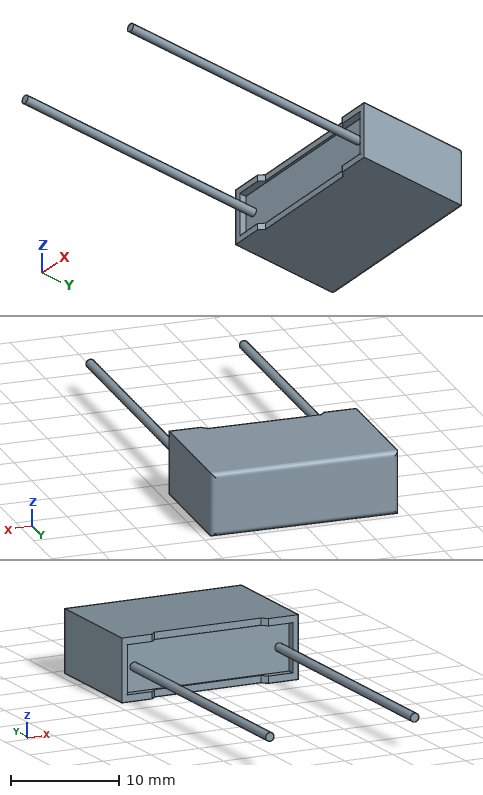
import cadquery as cq

total_length = 39.1
case_width = 18.3
case_height = 6.2
lead_length = 27.0
case_length = total_length - lead_length

side_wall = 0.6
flat_wall = 0.7
back_wall = flat_wall
back_edge_radius = 0.45
notch_depth = 0.5
notch_mouth_width = 12.05

filling_recess = 0.75
lead_diameter = 0.85
lead_spacing = 15.0

mouth_y = 0.0
lead_tip_y = mouth_y - lead_length
back_y = mouth_y + case_length
filling_y = mouth_y + filling_recess
cavity_width = case_width - 2 * side_wall
cavity_height = case_height - 2 * flat_wall
cavity_end_y = back_y - back_wall


def block(width, height, start_y, end_y):
    """Box centred on X and Z that spans start_y to end_y."""
    return cq.Workplane("XY").box(width, end_y - start_y, height, centered=(True, False, True)).translate(
        (0, start_y, 0)
    )


def make_mouth_notch():
    """Trapezoidal notch through both flat walls at the mouth."""
    mouth_half = notch_mouth_width / 2
    floor_half = mouth_half - notch_depth
    return (
        cq.Workplane("XY")
        .polyline([
            (-mouth_half, mouth_y),
            (mouth_half, mouth_y),
            (floor_half, mouth_y + notch_depth),
            (-floor_half, mouth_y + notch_depth),
        ])
        .close()
        .extrude(case_height, both=True)
    )


def make_case():
    """Box open at the mouth, with rounded edges around its back face."""
    shell = block(case_width, case_height, mouth_y, back_y).faces(">Y").edges().fillet(back_edge_radius)
    cavity = block(cavity_width, cavity_height, mouth_y, cavity_end_y)
    return shell.cut(cavity).cut(make_mouth_notch())


def make_filling():
    """Block that fills the cavity behind the recessed face."""
    return block(cavity_width, cavity_height, filling_y, cavity_end_y)


def make_lead(x):
    """Straight round wire from its tip to the face of the filling."""
    return cq.Workplane("XZ", origin=(x, filling_y, 0)).circle(lead_diameter / 2).extrude(filling_y - lead_tip_y)


case = make_case()
filling = make_filling()
leads = []
for side in (-1, 1):
    leads.append(make_lead(side * lead_spacing / 2))

result = cq.Compound.makeCompound([case.val(), filling.val(), *[lead.val() for lead in leads]])